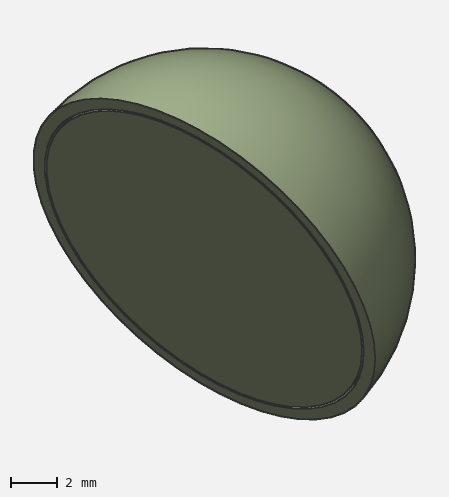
import cadquery as cq

shell_radius = 9.0
wall_thickness = 0.6
clearance = 0.1

cavity_radius = shell_radius - wall_thickness
core_radius = cavity_radius - clearance


def hemisphere(radius):
    """Half ball centred on the origin, flat face on Y = 0 and dome toward +Y."""
    quarter_disc = (
        cq.Workplane("XY")
        .lineTo(radius, 0)
        .radiusArc((0, radius), -radius)
        .close()
    )
    return quarter_disc.revolve(360, (0, 0, 0), (0, 1, 0))


shell = hemisphere(shell_radius).cut(hemisphere(cavity_radius))
core = hemisphere(core_radius)

result = cq.Compound.makeCompound([shell.val(), core.val()])